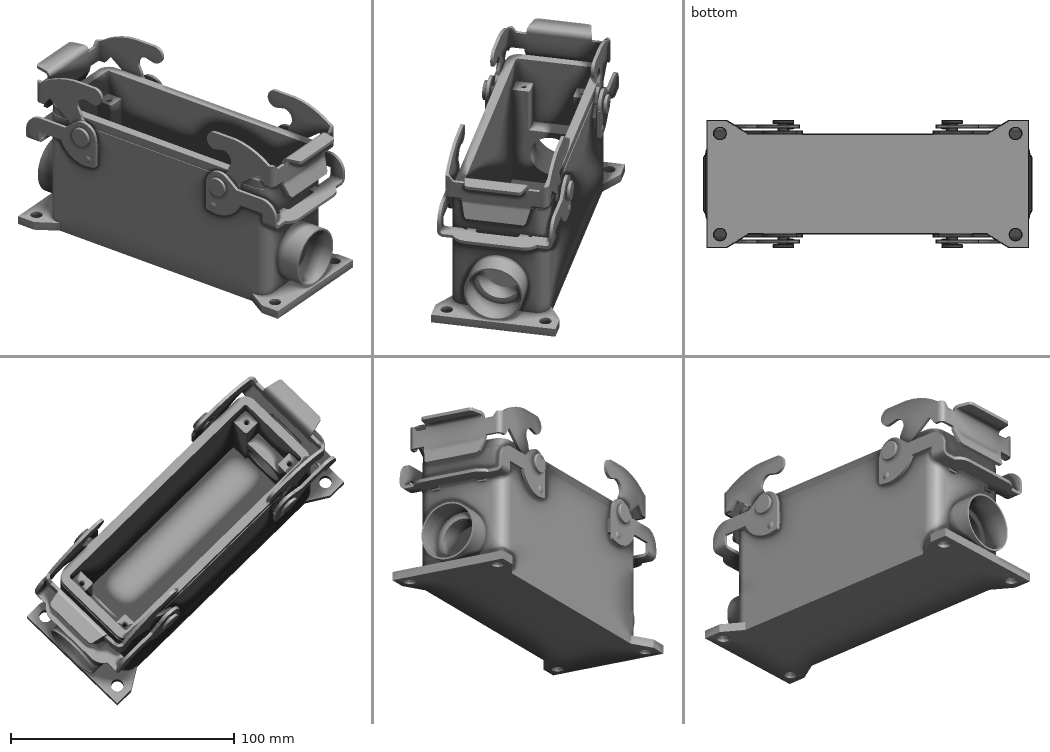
import cadquery as cq

body_half_length = 60.4
body_half_width = 22.3
body_height = 63.0
body_corner_radius = 6.0
rim_height = 4.3
rim_inset = 0.3

flange_half_length = 72.0
flange_half_width = 28.5
flange_thickness = 4.0
flange_chamfer_outer_x = 63.2
flange_chamfer_inner_x = 53.2
mount_hole_x = 66.1
mount_hole_y = 22.6
mount_hole_diameter = 5.6

cavity_half_length = 56.1
cavity_half_width = 18.0
cavity_corner_radius = 1.2
cavity_floor = flange_thickness
post_length = 7.6
post_width = 8.0
post_top = 51.1
post_edge_radius = 0.9
post_hole_x = 52.3
post_hole_y = 13.5
post_hole_diameter = 2.0
post_hole_rim_diameter = 3.1
post_hole_depth = 8.8
ledge_top = 30.9
left_ledge_length = 6.6
right_ledge_length = post_length

entry_height = 18.5
entry_outer_diameter = 27.0
entry_bore_diameter = 25.4
entry_bore_end = 59.1
entry_hole_diameter = 19.3

sheet = 1.5
pivot_x = -37.8
pivot_z = 56.1
hook_outer_y = body_half_width + sheet
yoke_outer_y = 26.5
yoke_inner_y = yoke_outer_y - sheet

wall_pin_diameter = 3.2
shank_diameter = 5.0
head_diameter = 9.1
head_inner_y = 27.0
head_edge_radius = 0.5

web_outer_x = -65.8
web_inner_x = web_outer_x + sheet
hook_bend_radius = 2.6
hook_plate_start_x = web_outer_x + hook_bend_radius
web_top = 73.8
web_bottom = 63.3
web_notch_floor = 71.3
web_notch_half_width = 19.7
web_notch_mouth_half_width = 21.8
hook_top = 81.0
tip_radius = 4.3
tip_x = -33.5
throat_x = -38.2
throat_z = 69.2
throat_radius = 4.4
hook_heel_x = -47.0
hook_tail_x = -31.9
hook_tail_top = 51.7
hook_tail_bottom = 46.1
hook_heel_top = 59.4
crest_mid = (-55.3, 78.3)
crest_end = (-44.1, hook_top)
tip_blend = (-35.7, 72.9)
throat_mid = (throat_x - 3.1, throat_z + 3.1)
throat_end = (throat_x - throat_radius, throat_z - 1.2)
neck_points = [(-40.9, 64.7), (-40.5, 62.9), (-38.5, 61.1)]
underside_peak = (-57.9, 67.6)
underside_corner_x = -61.3

handle_tip_x = -73.5
handle_top = 74.5
handle_base_half_width = 15.0
handle_tip_half_width = 13.0
handle_corner_radius = 1.8
handle_bend_radius = 1.2
flap_half_width = 15.9
flap_bend_top = 62.0
flap_outer_bend_end = (-66.0, 61.1)
flap_inner_bend_end = (-64.7, 60.5)
flap_outer_tip = (-68.8, 54.5)
flap_inner_tip = (-67.5, 54.0)
flap_side = [(flap_half_width, 62.3), (14.1, 55.4), (12.5, flap_inner_tip[1])]

arm_outer_x = -69.1
arm_inner_x = -62.0
arm_top = 57.2
arm_bottom = 50.1
arm_outer_radius = 7.8
yoke_bend_radius = 2.8
bar_bottom = 43.8
bar_top = bar_bottom + sheet
eye_radius = 6.9
tail_x = -30.5
tail_arc_x = -36.0
tail_arc_z = 56.0
tail_arc_radius = 14.8
tail_arc_mid = (-44.1, 43.5)
tail_arc_end_x = -49.7
tail_corner_start_z = 42.9
tail_corner_end = (-31.7, 41.7)
arm_root = (-47.5, arm_top)
eye_tangent = (-43.2, 60.7)
dimple_x = -34.7
dimple_z = 45.0
dimple_base_radius = 1.8
dimple_tip_radius = 0.7
dimple_height = 0.5
lip_x = -72.6
lip_half_width = 19.3
lip_mid = (-71.6, 16.6)
lip_straight_half_width = 12.8
bar_notch_x = -64.5
bar_notch_half_width = 10.0
bar_notch_radius = 1.5
tab_outer_y = 14.0
tab_end_x = -60.8
tab_bottom = 43.0
tab_bend_radius = 1.0
relief_outer_y = 15.7
relief_depth = 0.9

both = (-1, 1)


def box_between(x_range, y_range, z_range):
    """Box given by its lower and upper limits along each axis."""
    size = [high - low for low, high in (x_range, y_range, z_range)]
    return cq.Workplane("XY").box(*size, centered=False).translate((x_range[0], y_range[0], z_range[0]))


def rounded_block(half_length, half_width, radius, bottom, top):
    block = cq.Workplane("XY").workplane(offset=bottom).rect(2 * half_length, 2 * half_width)
    return block.extrude(top - bottom).edges("|Z").fillet(radius)


def cylinder_x(diameter, start, end):
    """Cylinder on the axis of the cable entries."""
    plane = cq.Workplane("YZ", origin=(start, 0, entry_height))
    return plane.circle(diameter / 2).extrude(end - start)


def cylinder_y(x, z, diameter, start, end):
    """Cylinder along Y between two Y positions."""
    plane = cq.Workplane("XZ", origin=(x, start, z))
    return plane.circle(diameter / 2).extrude(start - end)


def mirrored_pair(solid):
    """The solid joined with its mirror image across the XZ plane."""
    return solid.union(solid.mirror("XZ"))


def make_flange():
    """Two flange ends; the chamfers run back into the long sides of the body."""
    outline = [
        (flange_half_length, flange_half_width),
        (flange_chamfer_outer_x, flange_half_width),
        (flange_chamfer_inner_x, body_half_width),
    ]
    top_edge = outline + [(-x, y) for x, y in reversed(outline)]
    bottom_edge = [(x, -y) for x, y in reversed(top_edge)]
    flange = cq.Workplane("XY").polyline(top_edge + bottom_edge).close().extrude(flange_thickness)
    corners = [(sx * mount_hole_x, sy * mount_hole_y) for sx in both for sy in both]
    return flange.faces(">Z").workplane(origin=(0, 0, 0)).pushPoints(corners).hole(mount_hole_diameter)


def make_shell():
    shoulder = body_height - rim_height
    shell = rounded_block(body_half_length, body_half_width, body_corner_radius, 0, shoulder)
    rim = rounded_block(
        body_half_length - rim_inset, body_half_width - rim_inset,
        body_corner_radius - rim_inset, shoulder, body_height,
    )
    return shell.union(rim)


def make_post(x_side, y_side):
    """Corner post with a screw hole and one rounded free edge."""
    post = box_between(
        (cavity_half_length - post_length, cavity_half_length + cavity_corner_radius),
        (cavity_half_width - post_width, cavity_half_width + cavity_corner_radius),
        (cavity_floor, post_top),
    )
    post = post.edges("|Z and <X and <Y").fillet(post_edge_radius)
    hole = cq.Workplane("XY", origin=(post_hole_x, post_hole_y, post_top))
    post = post.cut(hole.circle(post_hole_diameter / 2).extrude(-post_hole_depth))
    post = post.faces(">Z").edges("%CIRCLE").edges(cq.selectors.RadiusNthSelector(-1)).chamfer(
        (post_hole_rim_diameter - post_hole_diameter) / 2
    )
    if x_side < 0:
        post = post.mirror("YZ")
    if y_side < 0:
        post = post.mirror("XZ")
    return post


def make_ledge(x_side, length):
    """Thick lower end wall between the posts, around the cable entry."""
    inner = x_side * (cavity_half_length - length)
    outer = x_side * (cavity_half_length + cavity_corner_radius)
    y_limit = cavity_half_width - post_width / 2
    return box_between(sorted((inner, outer)), (-y_limit, y_limit), (cavity_floor, ledge_top))


def make_housing():
    housing = make_shell().union(make_flange())
    housing = housing.union(cylinder_x(entry_outer_diameter, -flange_half_length, flange_half_length))
    housing = housing.cut(rounded_block(
        cavity_half_length, cavity_half_width, cavity_corner_radius, cavity_floor, body_height,
    ))
    for x_side, ledge_length in ((-1, left_ledge_length), (1, right_ledge_length)):
        housing = housing.union(make_ledge(x_side, ledge_length))
        for y_side in both:
            housing = housing.union(make_post(x_side, y_side))
    housing = housing.cut(cylinder_x(entry_hole_diameter, -flange_half_length, flange_half_length))
    for x_side in both:
        housing = housing.cut(
            cylinder_x(entry_bore_diameter, x_side * entry_bore_end, x_side * flange_half_length)
        )
        housing = housing.cut(
            cylinder_y(x_side * pivot_x, pivot_z, wall_pin_diameter, -body_half_width, body_half_width)
        )
    return housing


def u_sheet(plane, half_width, bend_radius, length):
    """Sheet strip: flat base on the local X axis, both ends bent round to point along local +Y."""
    inner_width = half_width - sheet
    straight = half_width - bend_radius
    return (
        cq.Workplane(plane)
        .moveTo(-straight, 0)
        .lineTo(straight, 0)
        .tangentArcPoint((half_width, bend_radius), relative=False)
        .lineTo(inner_width, bend_radius)
        .radiusArc((straight, sheet), bend_radius - sheet)
        .lineTo(-straight, sheet)
        .radiusArc((-inner_width, bend_radius), bend_radius - sheet)
        .lineTo(-half_width, bend_radius)
        .radiusArc((-straight, 0), -bend_radius)
        .close()
        .extrude(length)
    )


def make_hook_plate():
    """Side plate with the open hook above the pivot and a rounded tail around it."""
    tip_z = hook_top - tip_radius
    plate = (
        cq.Workplane("XZ", origin=(0, -body_half_width, 0))
        .moveTo(hook_plate_start_x, web_top)
        .threePointArc(crest_mid, crest_end)
        .lineTo(tip_x, hook_top)
        .threePointArc((tip_x + tip_radius, tip_z), (tip_x, tip_z - tip_radius))
        .threePointArc(tip_blend, (throat_x, throat_z + throat_radius))
        .threePointArc(throat_mid, throat_end)
        .polyline([throat_end, *neck_points, (hook_tail_x, hook_tail_top)])
        .lineTo(hook_tail_x, hook_tail_bottom)
        .lineTo(pivot_x, hook_tail_bottom)
        .tangentArcPoint((hook_heel_x, pivot_z), relative=False)
        .lineTo(hook_heel_x, hook_heel_top)
        .lineTo(*underside_peak)
        .lineTo(underside_corner_x, web_bottom)
        .lineTo(hook_plate_start_x, web_bottom)
        .close()
        .extrude(sheet)
    )
    return mirrored_pair(plate)


def make_web():
    """End wall between the hook plates, with a low shoulder cut into its top edge."""
    plane = cq.Plane(origin=(web_outer_x, 0, web_top), xDir=(0, 1, 0), normal=(0, 0, -1))
    web = u_sheet(plane, hook_outer_y, hook_bend_radius, web_top - web_bottom)
    notch = (
        cq.Workplane("YZ", origin=(web_outer_x, 0, 0))
        .moveTo(-web_notch_mouth_half_width, web_top)
        .lineTo(-web_notch_half_width, web_notch_floor)
        .lineTo(web_notch_half_width, web_notch_floor)
        .lineTo(web_notch_mouth_half_width, web_top)
        .close()
        .extrude(hook_bend_radius)
    )
    return web.cut(notch)


def make_handle():
    """Thumb plate bent outward from the top of the web, tapering to its tip."""
    handle_bottom = handle_top - sheet
    bend_x = web_outer_x - handle_bend_radius
    bend_z = handle_bottom - handle_bend_radius
    profile = (
        cq.Workplane("XZ", origin=(0, handle_base_half_width, 0))
        .moveTo(handle_tip_x, handle_bottom)
        .lineTo(bend_x, handle_bottom)
        .tangentArcPoint((web_outer_x, bend_z), relative=False)
        .lineTo(web_outer_x, web_bottom)
        .lineTo(web_inner_x, web_bottom)
        .lineTo(web_inner_x, bend_z)
        .tangentArcPoint((bend_x, handle_top), relative=False)
        .lineTo(handle_tip_x, handle_top)
        .close()
        .extrude(2 * handle_base_half_width)
    )
    taper = (
        cq.Workplane("XY", origin=(0, 0, web_bottom))
        .polyline([
            (web_inner_x, -handle_base_half_width),
            (web_inner_x, handle_base_half_width),
            (handle_tip_x, handle_tip_half_width),
            (handle_tip_x, -handle_tip_half_width),
        ])
        .close()
        .extrude(handle_top - web_bottom)
        .edges("|Z and <X")
        .fillet(handle_corner_radius)
    )
    return profile.intersect(taper)


def make_flap():
    """Tongue continuing the web downward and bent outward, narrower toward its end."""
    profile = (
        cq.Workplane("XZ", origin=(0, flap_half_width, 0))
        .moveTo(web_outer_x, web_bottom)
        .lineTo(web_outer_x, flap_bend_top)
        .tangentArcPoint(flap_outer_bend_end, relative=False)
        .lineTo(*flap_outer_tip)
        .lineTo(*flap_inner_tip)
        .lineTo(*flap_inner_bend_end)
        .tangentArcPoint((web_inner_x, flap_bend_top), relative=False)
        .lineTo(web_inner_x, web_bottom)
        .close()
        .extrude(2 * flap_half_width)
    )
    right_edge = [(flap_half_width, web_bottom), *flap_side]
    left_edge = [(-y, z) for y, z in reversed(right_edge)]
    outline = cq.Workplane("YZ", origin=(handle_tip_x, 0, 0)).polyline(right_edge + left_edge).close()
    return profile.intersect(outline.extrude(web_inner_x - handle_tip_x))


def make_yoke_plate():
    """Side plate of the yoke: eye around the pivot, rounded tail below it, bent arm toward the end."""
    tail_bottom = tail_arc_z - tail_arc_radius
    arm = (
        cq.Workplane("XZ", origin=(0, -yoke_inner_y, 0))
        .moveTo(arm_outer_x, bar_bottom + yoke_bend_radius)
        .lineTo(arm_outer_x, arm_top - arm_outer_radius)
        .tangentArcPoint((arm_outer_x + arm_outer_radius, arm_top), relative=False)
        .lineTo(*arm_root)
        .lineTo(*eye_tangent)
        .lineTo(pivot_x, pivot_z)
        .lineTo(tail_x, pivot_z)
        .lineTo(tail_x, tail_corner_start_z)
        .tangentArcPoint(tail_corner_end, relative=False)
        .lineTo(tail_arc_x, tail_bottom)
        .threePointArc(tail_arc_mid, (tail_arc_end_x, arm_bottom))
        .lineTo(arm_inner_x, arm_bottom)
        .lineTo(arm_inner_x, bar_bottom + yoke_bend_radius)
        .close()
        .extrude(sheet)
    )
    eye = cylinder_y(pivot_x, pivot_z, 2 * eye_radius, -yoke_outer_y, -yoke_inner_y)
    plate = arm.union(eye)
    for face_y, direction in ((-yoke_outer_y, -1), (-yoke_inner_y, 1)):
        dimple = cq.Solid.makeCone(
            dimple_base_radius, dimple_tip_radius, dimple_height,
            cq.Vector(dimple_x, face_y, dimple_z), cq.Vector(0, direction, 0),
        )
        plate = plate.union(cq.Workplane(dimple))
    return mirrored_pair(plate)


def make_yoke_bar():
    """Cross bar below the yoke arms with an outer lip, a central notch and two small stop tabs."""
    plane = cq.Plane(origin=(arm_outer_x, 0, bar_bottom), xDir=(0, 1, 0), normal=(1, 0, 0))
    bar = u_sheet(plane, yoke_outer_y, yoke_bend_radius, arm_inner_x - arm_outer_x)
    lip = (
        cq.Workplane("XY", origin=(0, 0, bar_bottom))
        .moveTo(arm_outer_x, lip_half_width)
        .threePointArc(lip_mid, (lip_x, lip_straight_half_width))
        .lineTo(lip_x, -lip_straight_half_width)
        .threePointArc((lip_mid[0], -lip_mid[1]), (arm_outer_x, -lip_half_width))
        .close()
        .extrude(sheet)
    )
    notch_y = (-bar_notch_half_width, bar_notch_half_width)
    notch = box_between((bar_notch_x, arm_inner_x), notch_y, (bar_bottom, bar_top))
    bar = bar.union(lip).cut(notch.edges("|Z and <X").fillet(bar_notch_radius))
    tab = box_between(
        (arm_inner_x, tab_end_x), (bar_notch_half_width, tab_outer_y), (tab_bottom, bar_top)
    )
    tab = tab.edges("|Y and >X and >Z").fillet(tab_bend_radius)
    relief = box_between(
        (arm_inner_x - relief_depth, arm_inner_x), (tab_outer_y, relief_outer_y), (bar_bottom, bar_top)
    )
    return bar.union(mirrored_pair(tab)).cut(mirrored_pair(relief))


def make_pins():
    """Pivot pins: thin end in the housing wall, shank through the plates, flat head outside."""
    wall_end = cylinder_y(pivot_x, pivot_z, wall_pin_diameter, -body_half_width, -cavity_half_width)
    shank = cylinder_y(pivot_x, pivot_z, shank_diameter, -head_inner_y, -body_half_width)
    head = cylinder_y(pivot_x, pivot_z, head_diameter, -flange_half_width, -head_inner_y)
    head = head.edges("%CIRCLE").fillet(head_edge_radius)
    return mirrored_pair(wall_end.union(shank).union(head))


def make_lever():
    lever = make_hook_plate()
    for piece in (make_web(), make_handle(), make_flap(), make_yoke_plate(), make_yoke_bar(), make_pins()):
        lever = lever.union(piece)
    return lever


housing = make_housing()
levers = []
for x_side in both:
    lever = make_lever()
    levers.append(lever if x_side < 0 else lever.mirror("YZ"))

result = cq.Compound.makeCompound([housing.val(), *[lever.val() for lever in levers]])